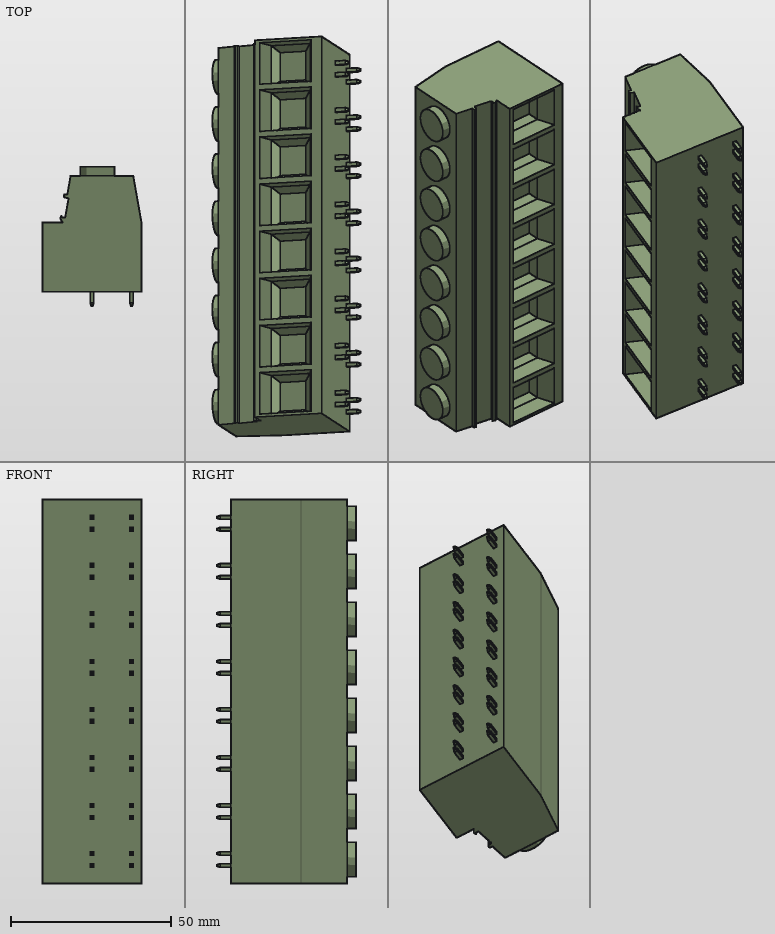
import cadquery as cq
import math


pole_count = 8
length = 120.0
pitch = length / pole_count
pole_heights = [(i + 0.5) * pitch for i in range(pole_count)]

width = 31.0
height = 36.2
shelf_height = 21.7
taper = math.tan(math.radians(10))
front_top_x = 8.8
rear_top_x = width - taper * (height - shelf_height)

upper_lip_top = 30.5
upper_lip_bottom = 29.5
upper_lip_middle = (upper_lip_top + upper_lip_bottom) / 2
upper_lip_root = 29.2
upper_lip_x = 6.8
upper_lip_nose_x = 6.6
front_setback = 0.6

hook_root_x = 6.2
hook_nose = (5.5, 22.9)
hook_tip = (5.9, 23.8)
hook_inner_x = 6.2
hook_floor = 23.3

mouth_center_y = 11.8
mouth_size_y = 16.8
mouth_size_z = 13.2
mouth_depth = 5.8
throat_size_y = 12.6
floor_offset_y = -0.2
floor_size_y = 8.3
floor_size_z = 9.1
throat_depth = 1.7

screw_diameter = 10.8
screw_height = 2.9
screw_x = 17.2

pin_size = 1.2
pin_length = 4.5
pin_tip_length = 1.1
pin_tip_size = 0.5
pin_rows_x = (15.5, 27.8)
pin_spacing = 3.7


def front_x(y, setback=0.0):
    """X of the sloping front at height y, moved inward by setback."""
    return front_top_x - taper * (height - y) + setback


def housing():
    outline = [
        (0, 0),
        (width, 0),
        (width, shelf_height),
        (rear_top_x, height),
        (front_top_x, height),
        (front_x(upper_lip_top), upper_lip_top),
        (upper_lip_x, upper_lip_top),
        (upper_lip_nose_x, upper_lip_middle),
        (upper_lip_x, upper_lip_bottom),
        (front_x(upper_lip_root, front_setback), upper_lip_root),
        (front_x(hook_floor, front_setback), hook_floor),
        (hook_inner_x, hook_floor),
        hook_tip,
        hook_nose,
        (hook_root_x, shelf_height),
        (0, shelf_height),
    ]
    return cq.Workplane("XY").polyline(outline).close().extrude(length)


def wire_entry(z):
    """Funnel-shaped pocket entering from the X = 0 face."""
    face = cq.Workplane("YZ", origin=(0, mouth_center_y, z))
    mouth = (
        face.rect(mouth_size_y, mouth_size_z)
        .workplane(offset=mouth_depth)
        .rect(throat_size_y, mouth_size_z)
        .loft(ruled=True)
    )
    throat = (
        face.workplane(offset=mouth_depth)
        .rect(throat_size_y, mouth_size_z)
        .workplane(offset=throat_depth)
        .center(floor_offset_y, 0)
        .rect(floor_size_y, floor_size_z)
        .loft(ruled=True)
    )
    return mouth.union(throat)


def screw_head(z):
    top_face = cq.Workplane("ZX", origin=(screw_x, height, z))
    return top_face.circle(screw_diameter / 2).extrude(screw_height)


def pin(x, z):
    """Square pin below the mounting face, narrowing at its end."""
    face = cq.Workplane("XZ", origin=(x, 0, z))
    shank_length = pin_length - pin_tip_length
    shank = face.rect(pin_size, pin_size).extrude(shank_length)
    tip = (
        face.workplane(offset=shank_length)
        .rect(pin_size, pin_size)
        .workplane(offset=pin_tip_length)
        .rect(pin_tip_size, pin_tip_size)
        .loft(ruled=True)
    )
    return shank.union(tip)


result = housing()
for pole_z in pole_heights:
    result = result.cut(wire_entry(pole_z))
    result = result.union(screw_head(pole_z))
    for pin_x in pin_rows_x:
        for side in (-1, 1):
            result = result.union(pin(pin_x, pole_z + side * pin_spacing / 2))